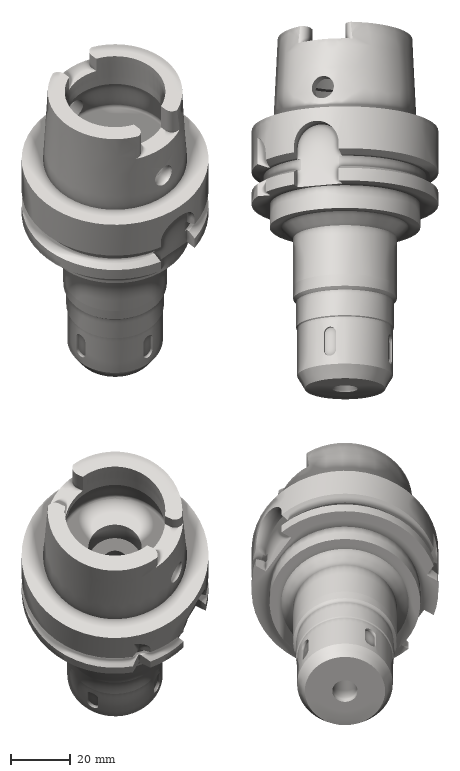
import cadquery as cq
import math

total_height = 122.0

taper_base_z = 90.0
taper_base_radius = 24.3
taper_top_radius = 22.7

flange_radius = 31.5
flange_bottom_z = 64.2
groove_bottom_z = 70.0
groove_top_z = 73.9
groove_radius = 27.5
groove_lip_radius = 28.8
groove_lip_height = 1.5

collar_radius = 25.4
collar_bottom_z = 56.2
neck_radius = 17.6
neck_top_z = 52.3
neck_band_top_z = 35.3
neck_band_radius = 17.5
neck_bottom_z = 30.1
neck_chamfer = 1.1
sleeve_radius = 16.5
sleeve_bottom_z = 20.9
nose_radius = 16.1
nose_tip_radius = 13.5
nose_chamfer_height = 4.4

mouth_radius = 17.0
mouth_bottom_z = 108.8
chamber_radius = 19.9
chamber_floor_z = 95.2
chamber_floor_fillet = 1.1
thread_bore_radius = 9.0
thread_bore_depth = 9.8
through_radius = 4.3

cross_hole_z = 99.2
cross_hole_radius = 3.9

drive_slot_half_width = 6.3
drive_slot_corner_radius = 2.9
drive_slot_shoulder_x = 20.9
left_drive_slot_depth = 5.9
right_drive_slot_depth = 10.0

keyway_radius = 7.9
keyway_arch_z = 77.5
keyway_floor_x = 26.6

notch_floor_x = 19.9
notch_edge_y = 20.0

wrench_slot_count = 4
wrench_slot_width = 4.3
wrench_slot_length = 10.1
wrench_slot_z = 12.5
wrench_slot_floor = 15.0


def make_body():
    """Revolve the outer outline, from the nose tip up to the taper rim."""
    cone_top_radius = neck_radius + (collar_bottom_z - neck_top_z)
    outline = [
        (0, 0),
        (nose_tip_radius, 0),
        (nose_radius, nose_chamfer_height),
        (nose_radius, sleeve_bottom_z),
        (sleeve_radius, sleeve_bottom_z + sleeve_radius - nose_radius),
        (sleeve_radius, neck_bottom_z),
        (neck_band_radius, neck_bottom_z + neck_chamfer),
        (neck_radius, neck_band_top_z),
        (neck_radius, neck_top_z),
        (cone_top_radius, collar_bottom_z),
        (collar_radius, collar_bottom_z),
        (collar_radius, flange_bottom_z),
        (flange_radius, flange_bottom_z),
        (flange_radius, groove_bottom_z - groove_lip_height),
        (groove_lip_radius, groove_bottom_z),
        (groove_radius, groove_bottom_z),
        (groove_radius, groove_top_z),
        (groove_lip_radius, groove_top_z),
        (flange_radius, groove_top_z + groove_lip_height),
        (flange_radius, taper_base_z),
        (taper_base_radius, taper_base_z),
        (taper_top_radius, total_height),
        (0, total_height),
    ]
    return cq.Workplane("XZ").polyline(outline).close().revolve(360, (0, 0, 0), (0, 1, 0))


def upright_cylinder(radius, bottom_z, top_z):
    return cq.Workplane("XY").workplane(offset=bottom_z).circle(radius).extrude(top_z - bottom_z)


def make_bores():
    mouth = upright_cylinder(mouth_radius, chamber_floor_z, total_height)
    chamber = upright_cylinder(chamber_radius, chamber_floor_z, mouth_bottom_z)
    chamber = chamber.faces("<Z").edges().fillet(chamber_floor_fillet)
    thread_bore = upright_cylinder(
        thread_bore_radius, chamber_floor_z - thread_bore_depth, chamber_floor_z
    )
    through = upright_cylinder(through_radius, 0, total_height)
    return mouth.union(chamber).union(thread_bore).union(through)


def make_cross_holes():
    return (
        cq.Workplane("YZ")
        .center(0, cross_hole_z)
        .circle(cross_hole_radius)
        .extrude(flange_radius, both=True)
    )


def make_drive_slot(side, depth):
    """Cut through the rim on one side (+1 or -1 along X), flaring out past rounded corners."""
    corner_x = drive_slot_shoulder_x - drive_slot_corner_radius
    flare_y = drive_slot_half_width + drive_slot_corner_radius
    arc_mid_x = corner_x + drive_slot_corner_radius * math.sin(math.pi / 4)
    arc_mid_y = flare_y - drive_slot_corner_radius * math.cos(math.pi / 4)
    end_y = taper_base_radius / 2
    return (
        cq.Workplane("XY")
        .workplane(offset=total_height - depth)
        .moveTo(0, -drive_slot_half_width)
        .lineTo(side * corner_x, -drive_slot_half_width)
        .threePointArc((side * arc_mid_x, -arc_mid_y), (side * drive_slot_shoulder_x, -flare_y))
        .lineTo(side * drive_slot_shoulder_x, -end_y)
        .lineTo(side * flange_radius, -end_y)
        .lineTo(side * flange_radius, end_y)
        .lineTo(side * drive_slot_shoulder_x, end_y)
        .lineTo(side * drive_slot_shoulder_x, flare_y)
        .threePointArc((side * arc_mid_x, arc_mid_y), (side * corner_x, drive_slot_half_width))
        .lineTo(0, drive_slot_half_width)
        .close()
        .extrude(depth)
    )


def make_keyway(side, center_y, floor_x):
    """Arch-topped cut from the flange underside, outward of a flat floor normal to X."""
    arch_top_z = keyway_arch_z + keyway_radius
    return (
        cq.Workplane("YZ")
        .workplane(offset=side * floor_x)
        .moveTo(center_y - keyway_radius, flange_bottom_z)
        .lineTo(center_y - keyway_radius, keyway_arch_z)
        .threePointArc((center_y, arch_top_z), (center_y + keyway_radius, keyway_arch_z))
        .lineTo(center_y + keyway_radius, flange_bottom_z)
        .close()
        .extrude(side * (flange_radius - floor_x))
    )


def make_wrench_slot(angle):
    return (
        cq.Workplane("YZ")
        .workplane(offset=wrench_slot_floor)
        .center(0, wrench_slot_z)
        .slot2D(wrench_slot_length, wrench_slot_width, 90)
        .extrude(nose_radius - wrench_slot_floor)
        .rotate((0, 0, 0), (0, 0, 1), angle)
    )


result = make_body().cut(make_bores()).cut(make_cross_holes())
result = result.cut(make_drive_slot(-1, left_drive_slot_depth))
result = result.cut(make_drive_slot(1, right_drive_slot_depth))
for side in (-1, 1):
    result = result.cut(make_keyway(side, 0, keyway_floor_x))
result = result.cut(make_keyway(-1, notch_edge_y + keyway_radius, notch_floor_x))
for index in range(wrench_slot_count):
    result = result.cut(make_wrench_slot(index * 360 / wrench_slot_count))